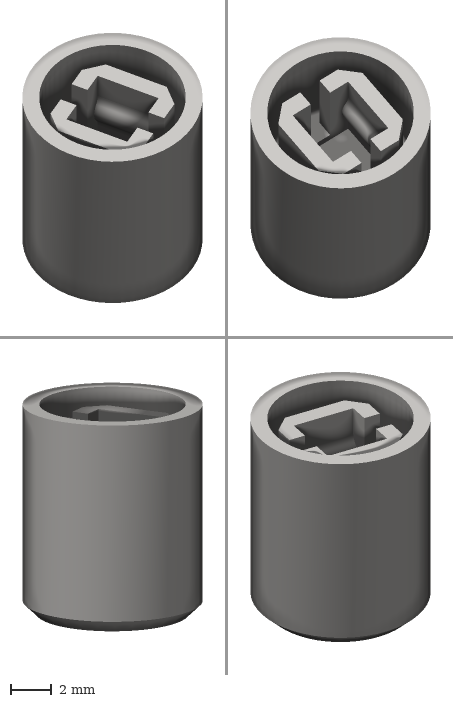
import cadquery as cq
import math

height = 10.5
outer_diameter = 8.8
foot_chamfer_height = 0.64
foot_chamfer_inset = 0.67

bore_diameter = 7.15
bore_depth = 5.0
bore_fillet = 0.2

post_width = 5.08
post_recess = 0.8
socket_width = 3.34
slot_width = 1.17
slot_depth = 3.78

rib_crest_depth = 2.4
rib_depth = 0.38
rib_root_depth = 0.17
rib_half_height = 1.0

floor_z = height - bore_depth
post_top_z = height - post_recess
post_height = post_top_z - floor_z
post_chamfer = (post_width - socket_width) / 2
rib_crest_z = post_top_z - rib_crest_depth


def make_sleeve():
    """Cylinder with a chamfered foot and a round recess with a filleted floor."""
    outer_radius = outer_diameter / 2
    body = (
        cq.Workplane("XZ")
        .moveTo(0, 0)
        .lineTo(outer_radius - foot_chamfer_inset, 0)
        .lineTo(outer_radius, foot_chamfer_height)
        .lineTo(outer_radius, height)
        .lineTo(0, height)
        .close()
        .revolve(360, (0, 0, 0), (0, 1, 0))
    )
    bore = (
        cq.Workplane("XY", origin=(0, 0, floor_z))
        .circle(bore_diameter / 2)
        .extrude(bore_depth)
        .faces("<Z")
        .edges()
        .fillet(bore_fillet)
    )
    return body.cut(bore)


def make_post():
    """Octagonal post with a square socket and a slot through two opposite walls."""
    post = (
        cq.Workplane("XY", origin=(0, 0, floor_z))
        .rect(post_width, post_width)
        .extrude(post_height)
        .edges("|Z")
        .chamfer(post_chamfer)
    )
    socket = (
        cq.Workplane("XY", origin=(0, 0, floor_z))
        .rect(socket_width, socket_width)
        .extrude(post_height)
    )
    slot = (
        cq.Workplane("XY", origin=(0, 0, post_top_z - slot_depth))
        .rect(post_width, slot_width)
        .extrude(slot_depth)
    )
    return post.cut(socket).cut(slot)


def make_rib():
    """Rib on the +Y socket wall: concave roots blend tangentially into a convex crest."""
    turn = 2 * math.atan(rib_depth / rib_half_height)
    rise = 1 - math.cos(turn)
    root_radius = rib_root_depth / rise
    crest_radius = (rib_depth - rib_root_depth) / rise

    wall_y = socket_width / 2
    root_mid_y = wall_y - root_radius * (1 - math.cos(turn / 2))
    root_mid_offset = rib_half_height - root_radius * math.sin(turn / 2)
    join_y = wall_y - rib_root_depth
    join_offset = crest_radius * math.sin(turn)

    return (
        cq.Workplane("YZ", origin=(-socket_width / 2, 0, rib_crest_z))
        .moveTo(wall_y, rib_half_height)
        .threePointArc((root_mid_y, root_mid_offset), (join_y, join_offset))
        .threePointArc((wall_y - rib_depth, 0), (join_y, -join_offset))
        .threePointArc((root_mid_y, -root_mid_offset), (wall_y, -rib_half_height))
        .close()
        .extrude(socket_width)
    )


rib = make_rib()
result = make_sleeve().union(make_post()).union(rib).union(rib.mirror("XZ"))